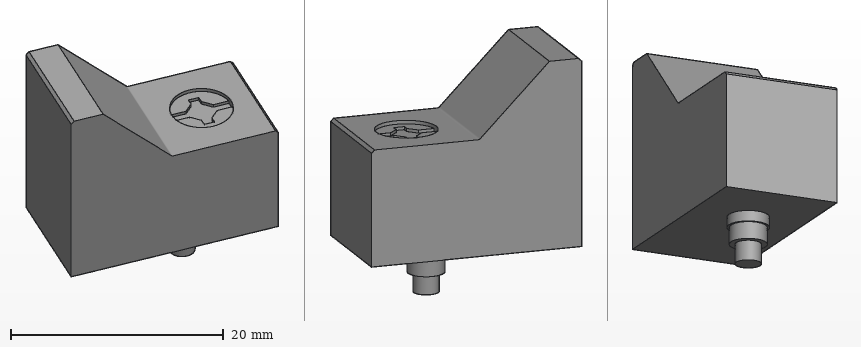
import cadquery as cq

width = 11.5
depth = 21.0
total_height = 23.1
stub_lengths = (1.05, 1.66, 1.95)
stub_diameters = (4.0, 3.6, 2.5)
housing_height = total_height - sum(stub_lengths)
shelf_height = 11.45
ridge_thickness = 3.23
edge_chamfer = 0.3
slope_root_radius = 0.3
stub_y = depth - 7.48

slope_end_y = ridge_thickness + housing_height - shelf_height

screw_diameter = 6.0
screw_length = 6.0
screw_recess = 0.35
screw_x = -0.1
screw_y = depth - 5.47
screw_top = shelf_height - screw_recess
screw_bottom = screw_top - screw_length

drive_depth = 0.3
long_slot_width = 0.97
short_slot_width = 1.05
short_slot_length = 4.05
drive_centre_reach = 1.87


def make_block():
    """Block with a raised front ridge that slopes down to the shelf."""
    outline = [
        (0, 0),
        (depth, 0),
        (depth, shelf_height - edge_chamfer),
        (depth - edge_chamfer, shelf_height),
        (slope_end_y, shelf_height),
        (ridge_thickness, housing_height),
        (edge_chamfer, housing_height),
        (0, housing_height - edge_chamfer),
    ]
    block = cq.Workplane("YZ").polyline(outline).close().extrude(width / 2, both=True)
    slope_root = cq.selectors.NearestToPointSelector((0, slope_end_y, shelf_height))
    return block.edges(slope_root).fillet(slope_root_radius)


def add_stub(block):
    """Add the stepped round stub below the block."""
    step_top = 0
    for diameter, length in zip(stub_diameters, stub_lengths):
        step = (
            cq.Workplane("XY", origin=(0, stub_y, step_top))
            .circle(diameter / 2)
            .extrude(-length)
        )
        block = block.union(step)
        step_top -= length
    return block


def make_housing():
    """Block and stub, with the blind hole for the screw."""
    screw_hole = (
        cq.Workplane("XY", origin=(screw_x, screw_y, screw_bottom))
        .circle(screw_diameter / 2)
        .extrude(shelf_height - screw_bottom)
    )
    return add_stub(make_block()).cut(screw_hole)


def make_drive():
    """Volume of the cross drive: two crossing slots and a central diamond."""
    plane = cq.Workplane("XY", origin=(screw_x, screw_y, screw_top))
    long_slot = plane.rect(long_slot_width, screw_diameter).extrude(-drive_depth)
    short_slot = plane.rect(short_slot_length, short_slot_width).extrude(-drive_depth)
    diamond = plane.polyline([
        (drive_centre_reach, 0),
        (0, drive_centre_reach),
        (-drive_centre_reach, 0),
        (0, -drive_centre_reach),
    ]).close().extrude(-drive_depth)
    return long_slot.union(short_slot).union(diamond)


def make_screw():
    """Round screw with the cross drive cut into its top."""
    cylinder = (
        cq.Workplane("XY", origin=(screw_x, screw_y, screw_bottom))
        .circle(screw_diameter / 2)
        .extrude(screw_length)
    )
    return cylinder.cut(make_drive())


housing = make_housing()
screw = make_screw()

result = cq.Compound.makeCompound([housing.val(), screw.val()])